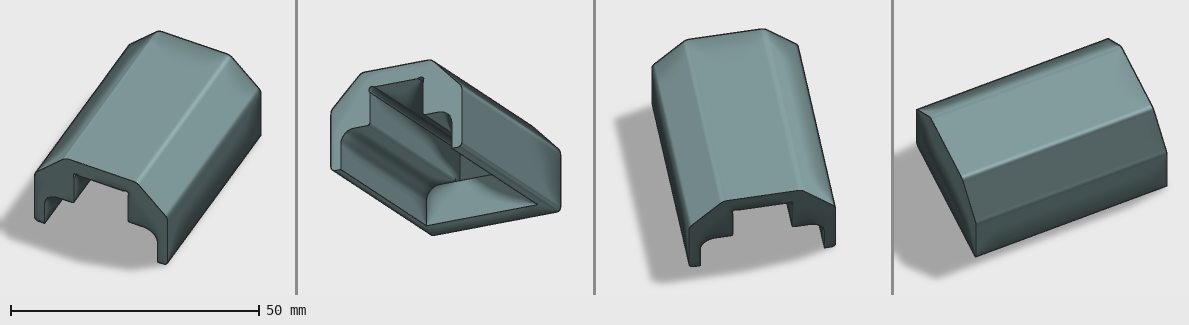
import cadquery as cq
import math

width = 30.0
length = 42.0
height = 20.0
roof_chamfer = 7.0
roof_edge_radius = 2.0
foot_radius = 1.0
front_y = -length / 2

roof_thickness = 3.6
end_wall = roof_thickness
upper_width = 12.1
upper_top = height - roof_thickness
upper_depth = length - end_wall

end_step = 2.0
lower_width = 25.4
lower_height = 8.35
lower_corner_radius = 3.0
lower_depth = upper_depth - end_step

mouth_radius = 0.5

relief_radius = 0.7
relief_offset = relief_radius / math.sqrt(2)


def box_from_front(box_width, bottom, top, depth):
    """Box centred on X that starts at the -Y end and runs toward +Y."""
    box = cq.Workplane("XY").box(box_width, depth, top - bottom, centered=(True, False, False))
    return box.translate((0, front_y, bottom))


def make_body():
    body = box_from_front(width, 0, height, length)
    body = body.edges("|Y and >Z").chamfer(roof_chamfer)
    body = body.edges("|Y and (not <Z)").fillet(roof_edge_radius)
    return body.edges("|Y and <Z").fillet(foot_radius)


def make_lower_channel():
    channel = box_from_front(lower_width, 0, lower_height, lower_depth)
    return channel.edges("|Y and >Z").fillet(lower_corner_radius)


def make_upper_channel():
    return box_from_front(upper_width, lower_height, upper_top, upper_depth)


def make_channels():
    """Both channels as one solid, with the two edges between them rounded."""
    channels = make_lower_channel().union(make_upper_channel())
    middle_y = front_y + lower_depth / 2
    for side in (-1, 1):
        mouth_edge_middle = (side * upper_width / 2, middle_y, lower_height)
        mouth_edge = cq.selectors.NearestToPointSelector(mouth_edge_middle)
        channels = channels.edges("|Y").edges(mouth_edge).fillet(mouth_radius)
    return channels


def make_corner_relief(side):
    x = side * (upper_width / 2 - relief_offset)
    z = upper_top - relief_offset
    relief = cq.Workplane("XZ").center(x, z).circle(relief_radius).extrude(-upper_depth)
    return relief.translate((0, front_y, 0))


result = make_body().cut(make_channels())
for side in (-1, 1):
    result = result.cut(make_corner_relief(side))